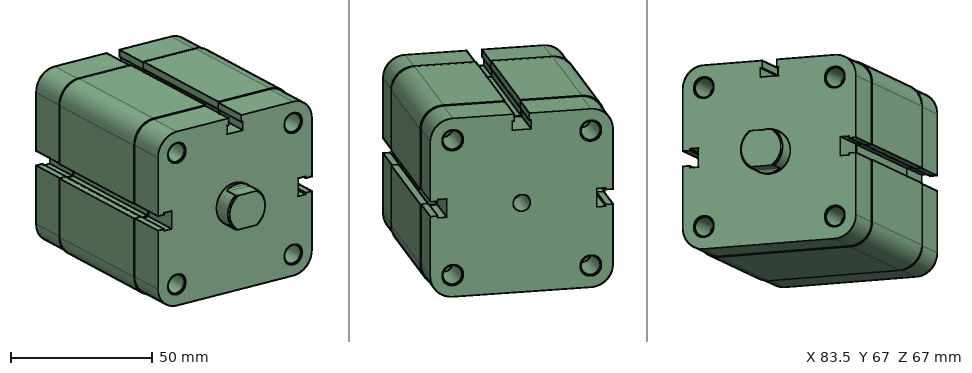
import cadquery as cq

total_length = 83.5
body_length = 75.8
rear_cap_length = 14.9
tube_length = 46.5
front_cap_length = body_length - rear_cap_length - tube_length

tube_width = 67.0
cap_inset = 0.3
bolt_offset = 25.05

slot_mouth_width = 5.5
slot_neck_level = 30.5
slot_floor_level = 27.55
slot_inner_width = 6.2
slot_angles = (0, 90, -90)

bolt_hole_diameter = 6.9
bolt_hole_chamfer = 0.4
port_diameter = 6.2
port_depth = rear_cap_length

rod_diameter = 16.0
flat_distance = 13.0
flat_setback = 1.4
flat_start = body_length + flat_setback
flat_fillet = 0.5
rod_chamfer_length = 0.6
rod_chamfer_depth = 0.4


def slot_cutter(start, length, inset):
    """T-slots of one housing section; the inset widens and deepens the inner part."""
    mouth_half = slot_mouth_width / 2
    inner_half = slot_inner_width / 2 + inset
    neck = slot_neck_level
    floor = slot_floor_level - inset
    outside = tube_width / 2
    slot = (
        cq.Workplane("YZ", origin=(start, 0, 0))
        .moveTo(-mouth_half, outside)
        .lineTo(-mouth_half, neck)
        .lineTo(-inner_half, neck)
        .lineTo(-inner_half, floor)
        .lineTo(inner_half, floor)
        .lineTo(inner_half, neck)
        .lineTo(mouth_half, neck)
        .lineTo(mouth_half, outside)
        .close()
        .extrude(length)
    )
    cutter = cq.Workplane("YZ")
    for angle in slot_angles:
        cutter = cutter.add(slot.rotate((0, 0, 0), (1, 0, 0), angle))
    return cutter.combine()


def housing_section(start, length, inset):
    """Rounded square block with slots on three sides and four bolt holes."""
    width = tube_width - 2 * inset
    corner_radius = width / 2 - bolt_offset
    block = (
        cq.Workplane("YZ", origin=(start, 0, 0))
        .rect(width, width)
        .extrude(length)
        .edges("|X")
        .fillet(corner_radius)
    )
    bolt_holes = (
        cq.Workplane("YZ", origin=(start, 0, 0))
        .rect(2 * bolt_offset, 2 * bolt_offset, forConstruction=True)
        .vertices()
        .circle(bolt_hole_diameter / 2)
        .extrude(length)
    )
    return block.cut(slot_cutter(start, length, inset)).cut(bolt_holes)


def chamfer_bolt_holes(cap, face):
    """Break the bolt hole rims on the outer face of a cap."""
    bolt_rim = cq.selectors.RadiusNthSelector(0)
    rims = cap.faces(face).edges("%CIRCLE").edges(bolt_rim)
    return rims.chamfer(bolt_hole_chamfer)


def make_rear_cap():
    cap = chamfer_bolt_holes(housing_section(0, rear_cap_length, cap_inset), "<X")
    port = cq.Workplane("YZ").circle(port_diameter / 2).extrude(port_depth)
    return cap.cut(port)


def make_tube():
    return housing_section(rear_cap_length, tube_length, 0)


def make_front_cap():
    start = rear_cap_length + tube_length
    cap = chamfer_bolt_holes(housing_section(start, front_cap_length, cap_inset), ">X")
    rod_bore = (
        cq.Workplane("YZ", origin=(start, 0, 0))
        .circle(rod_diameter / 2)
        .extrude(front_cap_length)
    )
    return cap.cut(rod_bore)


def make_rod():
    """Rod seated in the front cap, with a tapered tip and two wrench flats."""
    radius = rod_diameter / 2
    rod = (
        cq.Workplane("XY")
        .moveTo(body_length - front_cap_length, 0)
        .lineTo(body_length - front_cap_length, radius)
        .lineTo(total_length - rod_chamfer_length, radius)
        .lineTo(total_length, radius - rod_chamfer_depth)
        .lineTo(total_length, 0)
        .close()
        .revolve(360, (0, 0, 0), (1, 0, 0))
    )
    cutter_height = radius
    flat = (
        cq.Workplane("XY", origin=(flat_start, 0, flat_distance / 2))
        .box(total_length - flat_start, rod_diameter, cutter_height, centered=(False, True, False))
        .edges("<X and <Z")
        .fillet(flat_fillet)
    )
    for angle in (0, 180):
        rod = rod.cut(flat.rotate((0, 0, 0), (1, 0, 0), angle))
    return rod


rear_cap = make_rear_cap()
tube = make_tube()
front_cap = make_front_cap()
rod = make_rod()

result = cq.Compound.makeCompound([rear_cap.val(), tube.val(), front_cap.val(), rod.val()])